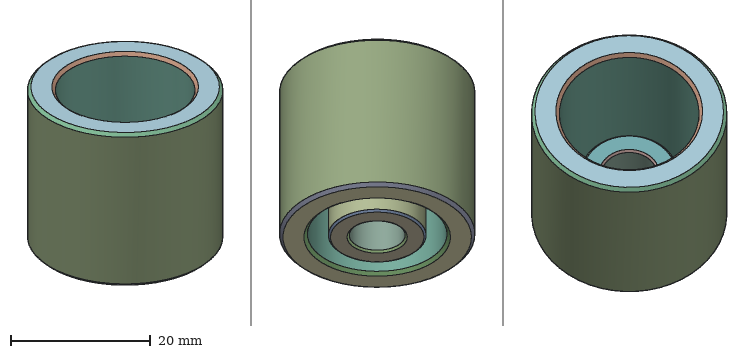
import cadquery as cq

sleeve_outer_diameter = 28.0
sleeve_bore_diameter = 20.0
sleeve_height = 25.0
sleeve_chamfer = 0.5

ring_outer_diameter = 14.0
ring_bore_diameter = 8.0
ring_height = 10.0
ring_chamfer = 0.3


def chamfered_tube(outer_diameter, bore_diameter, height, chamfer):
    """Tube standing on Z = 0, with all four circular edges chamfered."""
    return (
        cq.Workplane("XY")
        .circle(outer_diameter / 2)
        .circle(bore_diameter / 2)
        .extrude(height)
        .faces("<Z or >Z")
        .edges()
        .chamfer(chamfer)
    )


def make_sleeve():
    return chamfered_tube(sleeve_outer_diameter, sleeve_bore_diameter, sleeve_height, sleeve_chamfer)


def make_inner_ring():
    return chamfered_tube(ring_outer_diameter, ring_bore_diameter, ring_height, ring_chamfer)


sleeve = make_sleeve()
inner_ring = make_inner_ring()

result = cq.Compound.makeCompound([sleeve.val(), inner_ring.val()])